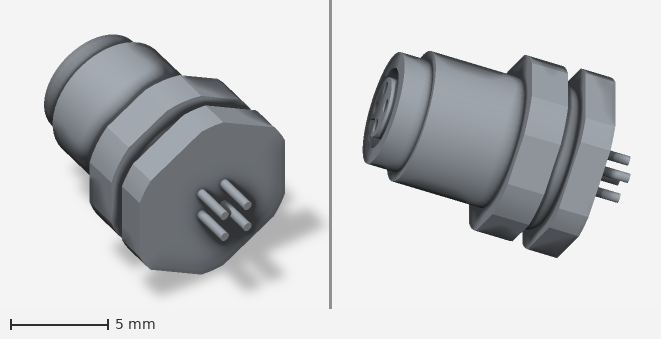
import cadquery as cq
import math

insert_tip_x = 0.0
collar_x = 0.17
barrel_x = 1.7
nut_x = 6.6
nut_end_x = 8.6
flange_x = 9.57
flange_end_x = 11.2
pin_tip_x = 13.4
bore_floor_x = nut_x

collar_diameter = 6.0
barrel_diameter = 7.0
bore_diameter = 4.3
insert_diameter = 3.2

hexagon_sides = 6
across_flats = 9.0
nut_corner_diameter = 9.4
flange_corner_diameter = 9.7

ring_outer_diameter = 7.8
ring_section_radius = 0.6

contact_circle_diameter = 2.0
contact_count = 4
socket_diameter = 0.7
socket_depth = 4.0
pin_diameter = 0.5

key_root_y = 0.8


def cylinder(diameter, start_x, end_x, y=0.0, z=0.0):
    """Solid cylinder parallel to X."""
    return (
        cq.Workplane("YZ", origin=(start_x, y, z))
        .circle(diameter / 2)
        .extrude(end_x - start_x)
    )


def rounded_hexagon(corner_diameter, start_x, end_x):
    """Hexagonal prism with flats facing +/-Y and its corners turned to a cylinder."""
    across_corners = across_flats / math.cos(math.pi / hexagon_sides)
    prism = (
        cq.Workplane("YZ", origin=(start_x, 0, 0))
        .transformed(rotate=(0, 0, 90))
        .polygon(hexagon_sides, across_corners)
        .extrude(end_x - start_x)
    )
    return prism.intersect(cylinder(corner_diameter, start_x, end_x))


def sealing_ring():
    """Torus, narrower than the hexagons, trimmed flat where it meets the nut and the flange."""
    middle_x = (nut_end_x + flange_x) / 2
    section_center_radius = ring_outer_diameter / 2 - ring_section_radius
    torus = (
        cq.Workplane("XY")
        .center(middle_x, section_center_radius)
        .circle(ring_section_radius)
        .revolve(360, (0, -section_center_radius), (1, -section_center_radius))
    )
    return torus.intersect(cylinder(across_flats, nut_end_x, flange_x))


def housing():
    """Stepped barrel with nut, sealing ring and flange, bored from the mating end."""
    body = cylinder(collar_diameter, collar_x, barrel_x)
    body = body.union(cylinder(barrel_diameter, barrel_x, flange_x))
    body = body.union(rounded_hexagon(nut_corner_diameter, nut_x, nut_end_x))
    body = body.union(sealing_ring())
    body = body.union(rounded_hexagon(flange_corner_diameter, flange_x, flange_end_x))
    return body.cut(cylinder(bore_diameter, collar_x, bore_floor_x))


def contact_positions():
    """(y, z) of each contact, evenly spaced from 45 degrees."""
    radius = contact_circle_diameter / 2
    angles = [math.pi / 4 + 2 * math.pi * i / contact_count for i in range(contact_count)]
    return [(radius * math.cos(a), radius * math.sin(a)) for a in angles]


def contact_insert():
    """Keyed core holding the contact sockets, standing on the bore floor."""
    insert = cylinder(insert_diameter, insert_tip_x, bore_floor_x)
    key_outer_y = insert_diameter / 2
    key_half_width = key_outer_y - key_root_y
    keyway = (
        cq.Workplane("YZ", origin=(insert_tip_x, 0, 0))
        .polyline([(key_root_y, 0), (key_outer_y, key_half_width), (key_outer_y, -key_half_width)])
        .close()
        .extrude(bore_floor_x - insert_tip_x)
    )
    insert = insert.cut(keyway)
    for y, z in contact_positions():
        insert = insert.cut(cylinder(socket_diameter, insert_tip_x, insert_tip_x + socket_depth, y, z))
    return insert


def add_pins(body):
    """Solder pins leaving the rear face of the flange."""
    for y, z in contact_positions():
        body = body.union(cylinder(pin_diameter, flange_end_x, pin_tip_x, y, z))
    return body


result = add_pins(housing().union(contact_insert()))